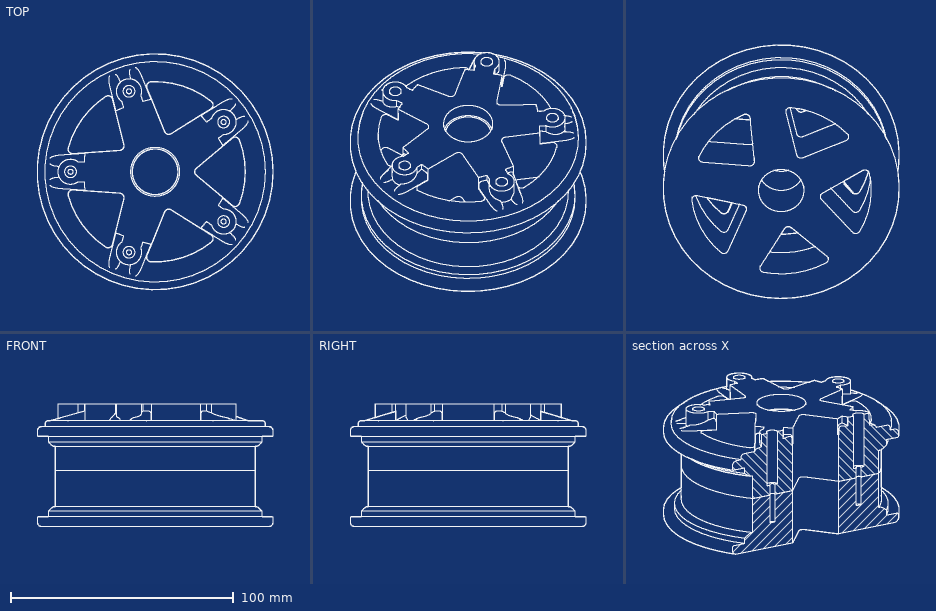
import cadquery as cq
import math

total_height = 55.11
ring_top = 47.6
split_height = 25.3

bed_radius = 90 / 2
bead_radius = 96 / 2
lip_radius = 99 / 2
flange_radius = 106 / 2
flange_thickness = 4.5
flange_round = 2.0
bead_height = 4.5
bead_chamfer = 2.0
chamfer_angle = 45
bead_round = 2.0
flange_edge_round = 0.7
lip_round = 1.5
upper_flange_top = 45.0

shoulder_radius = bead_radius - bead_chamfer
bead_setback = bead_round * math.tan(math.radians(chamfer_angle / 2))
chamfer_leg = bead_setback * math.cos(math.radians(chamfer_angle))

bearing_diameter = 22
bearing_depth = 7
bore_diameter = 20.4

spoke_count = 5
spoke_pitch = 360 / spoke_count
first_spoke_angle = 180
spoke_base_half_width = 10.76
spoke_taper = 0.07
window_radius = 40.4
window_inner_round = 2.0
window_outer_round = 2.0

boss_distance = 38
head_hole_diameter = 5.26
boss_wall = 3
boss_radius = head_hole_diameter / 2 + boss_wall
pilot_diameter = 2.26
head_hole_floor = 30
pilot_floor = 12
web_half_width = 4.5
spoke_overlap = 1.5
spoke_end = 32.1

rib_start_height = 51.8
rib_tip = 47.2
rib_inner_offset = 2.4
rib_side_inset = 0.25
rib_round = 1.3


def spoke_half_width(distance):
    return spoke_base_half_width - spoke_taper * distance


def around_spokes(body):
    """Copies of a feature drawn along +X, one on each spoke, as one workplane object."""
    copies = body.rotate((0, 0, 0), (0, 0, 1), first_spoke_angle)
    turned = copies
    for _ in range(spoke_count - 1):
        turned = turned.rotate((0, 0, 0), (0, 0, 1), spoke_pitch)
        copies = copies.add(turned)
    return copies.combine()


def lower_rim():
    bead_top = flange_thickness + bead_height
    return (
        cq.Workplane("XZ")
        .moveTo(0, 0)
        .lineTo(flange_radius - flange_round, 0)
        .radiusArc((flange_radius, flange_round), -flange_round)
        .lineTo(flange_radius, flange_thickness - flange_edge_round)
        .radiusArc((flange_radius - flange_edge_round, flange_thickness), -flange_edge_round)
        .lineTo(bead_radius, flange_thickness)
        .lineTo(bead_radius, bead_top - bead_chamfer)
        .lineTo(shoulder_radius + chamfer_leg, bead_top - chamfer_leg)
        .radiusArc((shoulder_radius - bead_setback, bead_top), -bead_round)
        .lineTo(bed_radius, bead_top)
        .lineTo(bed_radius, split_height)
        .lineTo(0, split_height)
        .close()
        .revolve(360, (0, 0), (0, 1))
    )


def upper_rim():
    flange_bottom = upper_flange_top - flange_thickness
    bead_bottom = flange_bottom - bead_height
    return (
        cq.Workplane("XZ")
        .moveTo(0, split_height)
        .lineTo(bed_radius, split_height)
        .lineTo(bed_radius, bead_bottom)
        .lineTo(shoulder_radius - bead_setback, bead_bottom)
        .radiusArc((shoulder_radius + chamfer_leg, bead_bottom + chamfer_leg), -bead_round)
        .lineTo(bead_radius, bead_bottom + bead_chamfer)
        .lineTo(bead_radius, flange_bottom)
        .lineTo(flange_radius - flange_edge_round, flange_bottom)
        .radiusArc((flange_radius, flange_bottom + flange_edge_round), -flange_edge_round)
        .lineTo(flange_radius, upper_flange_top - flange_round)
        .radiusArc((flange_radius - flange_round, upper_flange_top), -flange_round)
        .lineTo(lip_radius, upper_flange_top)
        .lineTo(lip_radius, ring_top - lip_round)
        .radiusArc((lip_radius - lip_round, ring_top), -lip_round)
        .lineTo(0, ring_top)
        .close()
        .revolve(360, (0, 0), (0, 1))
    )


def windows():
    """Wedge-shaped openings between the spokes, through both halves."""
    half_pitch = math.radians(spoke_pitch / 2)
    apex = spoke_base_half_width / (math.sin(half_pitch) + spoke_taper * math.cos(half_pitch))
    side_angle = half_pitch + math.atan(spoke_taper)
    reach = 2 * window_radius
    wedge = (
        cq.Workplane("XY")
        .moveTo(apex, 0)
        .lineTo(apex + reach * math.cos(side_angle), reach * math.sin(side_angle))
        .lineTo(apex + reach * math.cos(side_angle), -reach * math.sin(side_angle))
        .close()
        .extrude(total_height)
    )
    disc = cq.Workplane("XY").circle(window_radius).extrude(total_height)
    window = wedge.intersect(disc)
    window = window.edges("|Z").edges("<X").fillet(window_inner_round)
    window = window.edges("|Z").edges("<Y or >Y").fillet(window_outer_round)
    return around_spokes(window.rotate((0, 0, 0), (0, 0, 1), spoke_pitch / 2))


def raised_spoke():
    """Full-height star arm; the window cuts give it its tapering flanks and rounded roots."""
    half_width = spoke_base_half_width
    corner = spoke_end - spoke_taper * half_width
    return (
        cq.Workplane("XY", origin=(0, 0, ring_top))
        .polyline([
            (0, -half_width),
            (corner, -half_width),
            (spoke_end, 0),
            (corner, half_width),
            (0, half_width),
        ])
        .close()
        .extrude(total_height - ring_top)
    )


def boss_with_web():
    """Round screw boss joined to the spoke by a narrow web."""
    height = total_height - ring_top
    boss = cq.Workplane("XY", origin=(boss_distance, 0, ring_top)).circle(boss_radius).extrude(height)
    web_start = spoke_end - spoke_overlap
    web_length = boss_distance - web_start
    web = (
        cq.Workplane("XY", origin=(web_start + web_length / 2, 0, ring_top))
        .rect(web_length, 2 * web_half_width)
        .extrude(height)
    )
    return boss.union(web)


def rib_pair():
    """Two ramps flanking the boss, rounded along both crest edges."""
    slope = (rib_start_height - ring_top) / (rib_tip - spoke_end)
    reach = flange_radius
    start = spoke_end - spoke_overlap
    start_height = rib_start_height + slope * spoke_overlap
    reach_height = rib_start_height - slope * (reach - spoke_end)
    base = reach_height - (ring_top - reach_height)
    ramp = (
        cq.Workplane("XZ")
        .polyline([
            (start, base),
            (reach, base),
            (reach, reach_height),
            (start, start_height),
        ])
        .close()
        .extrude(-bed_radius)
    )
    plan = (
        cq.Workplane("XY", origin=(0, 0, base))
        .polyline([
            (start, rib_inner_offset),
            (reach, rib_inner_offset),
            (reach, spoke_half_width(reach) - rib_side_inset),
            (start, spoke_half_width(start) - rib_side_inset),
        ])
        .close()
        .extrude(total_height)
    )
    rib = ramp.intersect(plan)
    crest = rib.faces(cq.selectors.DirectionSelector(cq.Vector(slope, 0, 1)))
    rib = crest.edges("not |Y").fillet(rib_round)
    flat_radius = lip_radius - lip_round
    ring_flat = cq.Workplane("XY", origin=(0, 0, ring_top)).circle(flat_radius).extrude(total_height)
    rib = rib.intersect(ring_flat)
    return rib.union(rib.mirror("XZ"))


def screw_holes():
    """Counterbored screw holes, blind in the lower half."""
    head = (
        cq.Workplane("XY", origin=(boss_distance, 0, head_hole_floor))
        .circle(head_hole_diameter / 2)
        .extrude(total_height - head_hole_floor)
    )
    pilot = (
        cq.Workplane("XY", origin=(boss_distance, 0, pilot_floor))
        .circle(pilot_diameter / 2)
        .extrude(total_height - pilot_floor)
    )
    return around_spokes(head.union(pilot))


def hub_bore():
    bearing_seat = (
        cq.Workplane("XY", origin=(0, 0, total_height - bearing_depth))
        .circle(bearing_diameter / 2)
        .extrude(bearing_depth)
    )
    return cq.Workplane("XY").circle(bore_diameter / 2).extrude(total_height).union(bearing_seat)


window_cuts = windows()
screw_cuts = screw_holes()
bore_cut = hub_bore()

lower_half = lower_rim().cut(window_cuts).cut(screw_cuts).cut(bore_cut)

arm = raised_spoke().union(boss_with_web()).union(rib_pair())
upper_half = (
    upper_rim()
    .union(around_spokes(arm))
    .cut(window_cuts)
    .cut(screw_cuts)
    .cut(bore_cut)
)

result = cq.Compound.makeCompound([lower_half.val(), upper_half.val()])